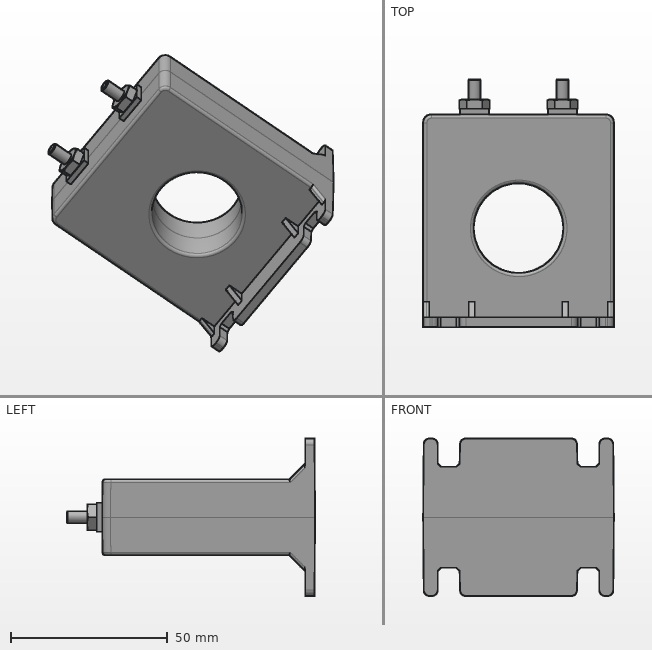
import cadquery as cq
import math

width = 61.0
body_length = 68.05
body_height = 24.35
corner_radius = 2.6
edge_radius = 1.0
draft_angle = 0.5
draft_slope = math.tan(math.radians(draft_angle))

bore_diameter = 28.55
bore_y = 31.7

flange_height = 50.4
flange_thickness = 3.4
flange_half = flange_height / 2
ear_radius = 2.0
tab_radius = 1.9

slot_inner_x = 18.9
slot_outer_x = 25.7
slot_floor_z = 16.2
slot_floor_chamfer = 0.95
slot_inner_lean = 1.5

rib_thickness = 2.0
rib_edge_radius = 0.9
rib_end_y = 8.25
rib_reach = rib_end_y + body_height / 2
inner_rib_x = 13.95

terminal_x = 14.0
terminal_tip_y = 79.3
pad_size = 9.35
pad_top_y = 69.8
nut_corner_diameter = 9.75
nut_top_y = 72.8
nut_chamfer_depth = 0.3
nut_chamfer_width = 0.7
stud_diameter = 4.0
stud_chamfer = 0.3


def drafted_block(length, height):
    """Upper-half block standing on z = 0, starting at y = 0."""
    return (
        cq.Workplane("XY")
        .center(0, length / 2)
        .rect(width, length)
        .extrude(height, taper=draft_angle)
    )


def half_body():
    return (
        drafted_block(body_length, body_height / 2)
        .faces(">Y")
        .edges("not |X")
        .fillet(corner_radius)
        .faces(">Z")
        .edges("not <Y")
        .fillet(edge_radius)
    )


def slot_cutter(side):
    """Slot that widens toward its open end, with chamfered floor corners."""
    depth = flange_half - slot_floor_z
    mouth_outer_x = slot_outer_x + depth * draft_slope
    mouth_inner_x = slot_inner_x - depth * math.tan(math.radians(slot_inner_lean))
    return (
        cq.Workplane("XZ")
        .moveTo(side * slot_inner_x, slot_floor_z)
        .lineTo(side * slot_outer_x, slot_floor_z)
        .lineTo(side * mouth_outer_x, flange_half)
        .lineTo(side * mouth_inner_x, flange_half)
        .close()
        .extrude(-2 * flange_thickness)
        .translate((0, -flange_thickness / 2, 0))
        .faces("<Z")
        .edges("|Y")
        .chamfer(slot_floor_chamfer)
    )


def half_flange():
    flange = drafted_block(flange_thickness, flange_half)
    for side in (-1, 1):
        flange = flange.cut(slot_cutter(side))
    tab_zone = cq.selectors.BoxSelector(
        (-slot_inner_x, -flange_thickness, 0),
        (slot_inner_x, 2 * flange_thickness, flange_height),
    )
    flange = flange.faces(">Z").edges("|Y").edges(tab_zone).fillet(tab_radius)
    ear_zone = cq.selectors.InverseSelector(tab_zone)
    return flange.faces(">Z").edges("|Y").edges(ear_zone).fillet(ear_radius)


def rib_wedge():
    """Full-width 45 degree wedge that the ribs are cut from, outer edges rounded."""
    slope = (
        cq.Workplane("YZ")
        .polyline([(0, 0), (rib_reach, 0), (0, rib_reach)])
        .close()
        .extrude(width / 2, both=True)
    )
    return (
        drafted_block(body_length, flange_half)
        .intersect(slope)
        .faces(">(0, 1, 1)")
        .edges("<X or >X")
        .fillet(rib_edge_radius)
    )


def half_ribs():
    outer_rib_x = width / 2 - rib_thickness
    slices = cq.Workplane("XY")
    for near_x in (inner_rib_x, outer_rib_x):
        for side in (-1, 1):
            rib_slice = cq.Workplane("XY").box(
                rib_thickness, rib_reach, rib_reach, centered=(True, False, False)
            )
            slices = slices.add(rib_slice.translate((side * (near_x + rib_thickness / 2), 0, 0)))
    return rib_wedge().intersect(slices.combine())


def half_bore():
    """Drafted bore, with a rounded rim at the body face."""
    half_height = body_height / 2
    throat_radius = bore_diameter / 2 + half_height * draft_slope
    arc_offset = edge_radius * (1 - math.sqrt(0.5))
    return (
        cq.Workplane("XZ")
        .lineTo(bore_diameter / 2, 0)
        .lineTo(throat_radius, half_height - edge_radius)
        .threePointArc(
            (throat_radius + arc_offset, half_height - arc_offset),
            (throat_radius + edge_radius, half_height),
        )
        .lineTo(0, half_height)
        .close()
        .revolve(360, (0, 0, 0), (0, 1, 0))
        .translate((0, bore_y, 0))
    )


def terminal(x):
    """Square pad, hexagon nut and plain round stud along +Y."""
    root_y = body_length - corner_radius

    def base(y):
        return cq.Workplane("XZ", origin=(x, y, 0))

    pad = base(root_y).rect(pad_size, pad_size).extrude(root_y - pad_top_y)
    nut = base(pad_top_y).polygon(6, nut_corner_diameter).extrude(pad_top_y - nut_top_y)
    nut_blank = (
        base(pad_top_y)
        .circle(nut_corner_diameter / 2)
        .extrude(pad_top_y - nut_top_y)
        .faces(">Y")
        .chamfer(nut_chamfer_depth, nut_chamfer_width)
    )
    stud = (
        base(root_y)
        .circle(stud_diameter / 2)
        .extrude(root_y - terminal_tip_y)
        .faces(">Y")
        .chamfer(stud_chamfer)
    )
    return pad.union(nut.intersect(nut_blank)).union(stud)


half = half_body().union(half_ribs()).union(half_flange()).cut(half_bore())
result = half.union(half.mirror("XY"))
for terminal_side in (-1, 1):
    result = result.union(terminal(terminal_side * terminal_x))